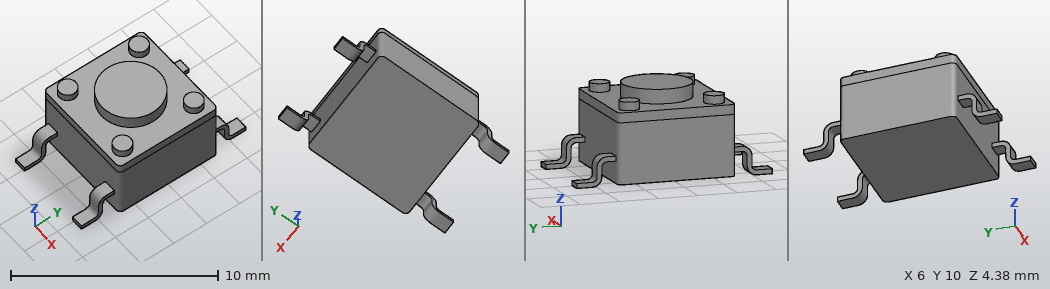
import cadquery as cq

side = 6.0
corner_radius = 0.25
base_bottom = 0.1
seam_height = 3.17
cover_top = 3.66

button_diameter = 3.5
button_top = 4.38
peg_diameter = 1.0
peg_top = 4.08
peg_offset = 2.17

lead_span = 10.0
lead_width = 0.71
lead_offset = 2.25
lead_thickness = 0.25
lead_top = 1.46
lead_leg_face = 3.96
inner_bend_radius = 0.25
outer_bend_radius = inner_bend_radius + lead_thickness


def rounded_block(bottom, top):
    """Square block with rounded upright edges."""
    block = cq.Workplane("XY").workplane(offset=bottom).rect(side, side).extrude(top - bottom)
    return block.edges("|Z").fillet(corner_radius)


def make_lead(x_center):
    """Lead bent from a flat strip, leaving the +Y wall of the base."""
    wall = side / 2
    tip = lead_span / 2
    leg_inner_face = lead_leg_face - lead_thickness
    strip = (
        cq.Workplane("YZ")
        .workplane(offset=x_center - lead_width / 2)
        .moveTo(wall, lead_top)
        .lineTo(lead_leg_face, lead_top)
        .lineTo(lead_leg_face, lead_thickness)
        .lineTo(tip, lead_thickness)
        .lineTo(tip, 0)
        .lineTo(leg_inner_face, 0)
        .lineTo(leg_inner_face, lead_top - lead_thickness)
        .lineTo(wall, lead_top - lead_thickness)
        .close()
        .extrude(lead_width)
    )

    def bend_edge(y, z):
        return cq.selectors.NearestToPointSelector((x_center, y, z))

    strip = strip.edges(bend_edge(lead_leg_face, lead_top)).fillet(outer_bend_radius)
    strip = strip.edges(bend_edge(leg_inner_face, 0)).fillet(outer_bend_radius)
    strip = strip.edges(bend_edge(leg_inner_face, lead_top - lead_thickness)).fillet(inner_bend_radius)
    return strip.edges(bend_edge(lead_leg_face, lead_thickness)).fillet(inner_bend_radius)


def make_base():
    """Lower housing with two leads on each of its Y sides."""
    base = rounded_block(base_bottom, seam_height)
    for x_center in (-lead_offset, lead_offset):
        lead = make_lead(x_center)
        base = base.union(lead).union(lead.mirror("XZ"))
    return base


def make_cover():
    """Top plate with the round button and four corner pegs."""
    cover = rounded_block(seam_height, cover_top)
    top_plane = cq.Workplane("XY").workplane(offset=cover_top)
    button = top_plane.circle(button_diameter / 2).extrude(button_top - cover_top)
    pegs = (
        top_plane
        .rect(2 * peg_offset, 2 * peg_offset, forConstruction=True)
        .vertices()
        .circle(peg_diameter / 2)
        .extrude(peg_top - cover_top)
    )
    return cover.union(button).union(pegs)


base = make_base()
cover = make_cover()

result = cq.Compound.makeCompound([base.solids().val(), cover.solids().val()])